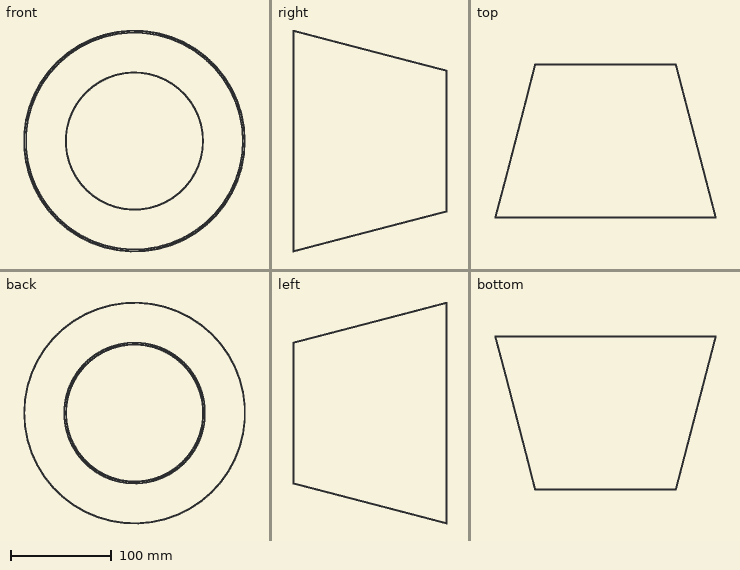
import cadquery as cq

length = 152.0
large_diameter = 219.0
small_diameter = 139.8
wall = 2.0

large_radius = large_diameter / 2
small_radius = small_diameter / 2

wall_section = (
    cq.Workplane("XY")
    .moveTo(large_radius - wall, 0)
    .lineTo(large_radius, 0)
    .lineTo(small_radius, length)
    .lineTo(small_radius - wall, length)
    .close()
)

result = wall_section.revolve(360, (0, 0, 0), (0, 1, 0))